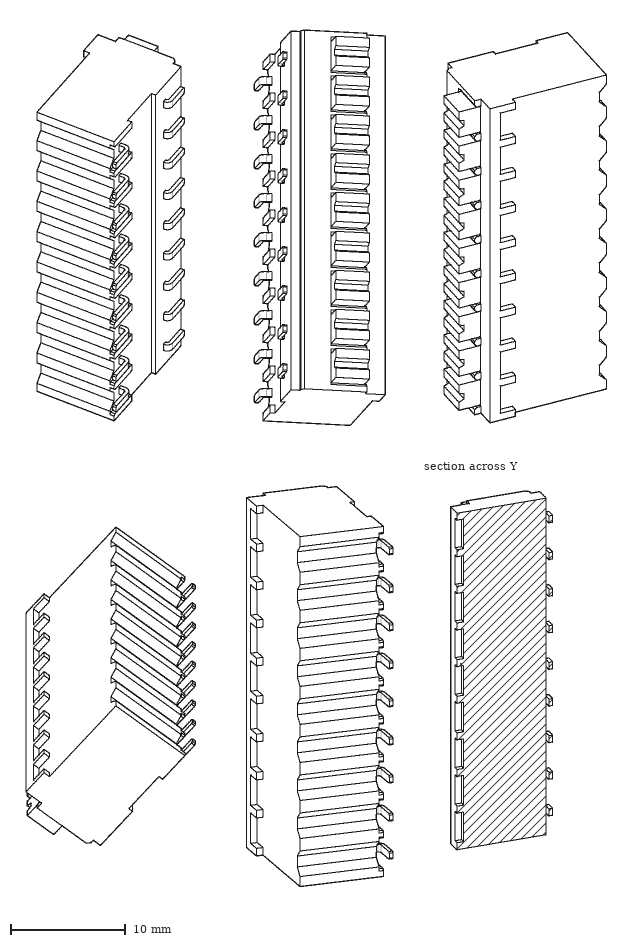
import cadquery as cq
import math


height = 32.2
pole_count = 9
rib = 0.7
pitch = (height - rib) / pole_count
bay = pitch - rib

lip_depth = 0.6
body_right = 8.4
lip_front = 9.1
lip_back = 11.6
shoulder_left = 1.77
shoulder_right = 7.6
shoulder_back = 12.2
shoulder_chamfer = 0.3
foot_depth = 0.42
front_foot_back = 3.05
rear_foot_front = 7.18

lip_strip = 1.03
groove_floor = 1.0
groove_depth = 0.68
rib_tip_chamfer = 0.15
rib_back_chamfer = 0.2

button_left = 1.87
button_right = 4.85
button_back = 13.7
button_height = 2.6
button_clearance = 0.1
slot_mouth = 0.93
slot_floor = 0.5
slot_depth = 0.5

pin_right = 9
pin_thickness = 0.35
pin_width = 0.7
pin_bend = 0.55
pin_reach = 2.6
pin_tip_chamfer = 0.13
pin_embed = 0.65
front_pin_tip = -0.7
rear_pin_tip = 11.15


def block(x0, x1, y0, y1, z0, z1):
    return cq.Workplane("XY").box(x1 - x0, y1 - y0, z1 - z0, centered=False).translate((x0, y0, z0))


def make_housing():
    foot_floor = body_right - foot_depth
    outline = [
        (lip_depth, 0),
        (body_right, 0),
        (body_right, front_foot_back),
        (foot_floor, front_foot_back),
        (foot_floor, rear_foot_front),
        (body_right, rear_foot_front),
        (body_right, lip_back),
        (shoulder_right, lip_back),
        (shoulder_right, shoulder_back - shoulder_chamfer),
        (shoulder_right - shoulder_chamfer, shoulder_back),
        (shoulder_left, shoulder_back),
        (shoulder_left, lip_back),
        (0, lip_back),
        (0, lip_front),
        (lip_depth, lip_front),
    ]
    return cq.Workplane("XY").polyline(outline).close().extrude(height)


def make_groove(z):
    """Groove with a flat floor and 45 degree flanks across the front face."""
    half_floor = groove_floor / 2
    half_mouth = half_floor + groove_depth
    profile = [
        (0, z - half_mouth),
        (groove_depth, z - half_floor),
        (groove_depth, z + half_floor),
        (0, z + half_mouth),
    ]
    return cq.Workplane("YZ").polyline(profile).close().extrude(body_right)


def make_flared_bay(z, x0, x1, mouth_y, floor_y, flare):
    """Opening between two ribs whose 45 degree flare widens it at the mouth."""
    half_bay = bay / 2
    half_mouth = half_bay + flare
    flare_y = mouth_y + math.copysign(flare, floor_y - mouth_y)
    profile = [
        (mouth_y, z - half_mouth),
        (flare_y, z - half_bay),
        (floor_y, z - half_bay),
        (floor_y, z + half_bay),
        (flare_y, z + half_bay),
        (mouth_y, z + half_mouth),
    ]
    return cq.Workplane("YZ").polyline(profile).close().extrude(x1 - x0).translate((x0, 0, 0))


def make_pole_cuts(z):
    bottom = z - bay / 2
    top = z + bay / 2
    lip_bay = block(0, lip_depth, lip_front, lip_back - lip_strip, bottom, top)
    foot_bay = make_flared_bay(z, body_right - foot_depth, body_right, 0, front_foot_back, rib_tip_chamfer)
    bay_right = button_right + button_clearance
    button_bay = make_flared_bay(z, shoulder_left, bay_right, shoulder_back, lip_back, rib_back_chamfer)
    return [make_groove(z), lip_bay, foot_bay, button_bay]


def make_button(z):
    half_height = button_height / 2
    half_mouth = slot_mouth / 2
    half_floor = slot_floor / 2
    profile = [
        (lip_back, z - half_height),
        (button_back, z - half_height),
        (button_back, z - half_mouth),
        (button_back - slot_depth, z - half_floor),
        (button_back - slot_depth, z + half_floor),
        (button_back, z + half_mouth),
        (button_back, z + half_height),
        (lip_back, z + half_height),
    ]
    button = cq.Workplane("YZ").polyline(profile).close().extrude(button_right - button_left)
    return button.translate((button_left, 0, 0))


def make_pin(z, tip, direction):
    """L-shaped pin whose free leg runs toward +Y (direction 1) or -Y (direction -1)."""
    root = body_right - foot_depth - pin_embed
    back = tip - direction * pin_reach
    bend_x = pin_right - pin_bend
    bend_y = back + direction * pin_bend
    inner = pin_bend - pin_thickness
    diagonal = math.sqrt(0.5)
    pin = (
        cq.Workplane("XY")
        .moveTo(root, back)
        .lineTo(bend_x, back)
        .threePointArc(
            (bend_x + pin_bend * diagonal, bend_y - direction * pin_bend * diagonal),
            (pin_right, bend_y),
        )
        .lineTo(pin_right, tip)
        .lineTo(pin_right - pin_thickness, tip)
        .lineTo(pin_right - pin_thickness, bend_y)
        .threePointArc(
            (bend_x + inner * diagonal, bend_y - direction * inner * diagonal),
            (bend_x, bend_y - direction * inner),
        )
        .lineTo(root, bend_y - direction * inner)
        .close()
        .extrude(pin_width)
        .translate((0, 0, z - pin_width / 2))
    )
    tip_face = ">Y" if direction > 0 else "<Y"
    return pin.faces(tip_face).edges("|X").chamfer(pin_tip_chamfer)


result = make_housing()
for pole in range(pole_count):
    pole_z = rib / 2 + (pole + 0.5) * pitch
    for cut in make_pole_cuts(pole_z):
        result = result.cut(cut)
    result = result.union(make_button(pole_z))
    result = result.union(make_pin(pole_z, front_pin_tip, -1))
    result = result.union(make_pin(pole_z, rear_pin_tip, 1))